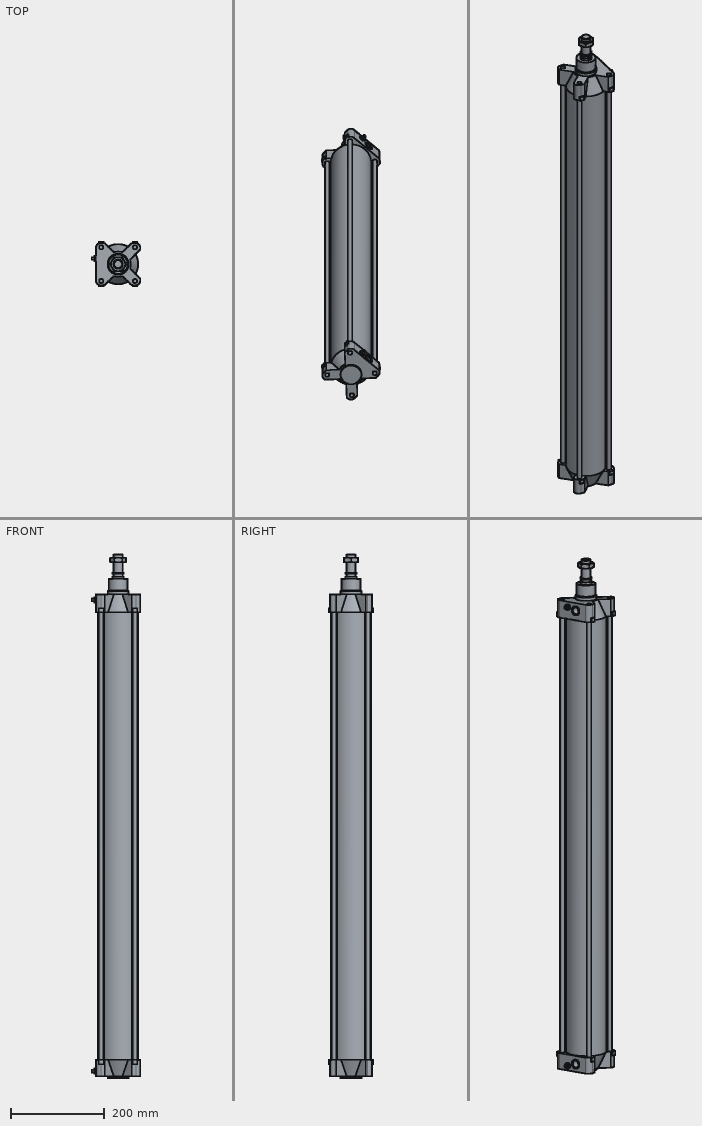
import cadquery as cq
import math

stroke = 900.0
body_length = 128.0 + stroke
rod_shoulder_height = 46.0
thread_length = 40.0

tube_diameter = 86.0
tie_rod_diameter = 10.0
corner_pitch = 72.0
web_width = 3.0
web_overlap = 1.0
corner_offset = corner_pitch / 2

cap_width_x = 95.0
cap_width_y = 90.0
cap_corner_radius = 10.0
arm_width = 23.0
lug_span_y = 95.0
lug_width = 10.0
lug_height = 9.0
front_cap_height = 38.0
rear_cap_height = 35.0
recess_inner_radius = 27.0
mounting_hole_diameter = 8.9
mounting_hole_depth = 16.0

port_y = -8.0
port_diameter = 14.9
port_seat_diameter = 20.0
port_seat_depth = 1.0
port_depth = 18.0
screw_y = 12.0
screw_reach = 9.0
screw_head_height = 3.0
screw_head_diameter = 12.0
screw_shank_diameter = 6.0
front_port_drop = 17.0
front_screw_drop = 11.5
rear_port_rise = 17.0
rear_screw_rise = 11.0

collar_diameter = 45.0
rear_collar_height = 4.0
front_collar_height = 9.0
gland_diameter = 41.0
gland_height = 33.0

rod_diameter = 25.0
thread_diameter = 20.0
thread_chamfer = 1.5
groove_diameter = 20.0
groove_height = 6.0
groove_drop = 2.0
nut_across_flats = 30.0
nut_across_corners = nut_across_flats / math.cos(math.radians(30))
nut_thickness = 10.0
nut_chamfer_angle = 30.0
nut_drop = 7.5

shoulder_z = body_length + rod_shoulder_height
tip_z = shoulder_z + thread_length
gland_top_z = body_length + gland_height
corners = [(x, y) for x in (-corner_offset, corner_offset) for y in (-corner_offset, corner_offset)]


def rod_z(diameter, bottom, top):
    """Cylinder on the Z axis between two heights."""
    return cq.Workplane("XY").workplane(offset=bottom).circle(diameter / 2).extrude(top - bottom)


def rod_x(diameter, y, z, start, end):
    """Cylinder parallel to X between two X positions."""
    return cq.Workplane("YZ", origin=(start, y, z)).circle(diameter / 2).extrude(end - start)


def recess_tool(height):
    """Wedge between two diagonal arms on the +X side, outside a cone that widens towards the tube."""
    apex = arm_width / 2 * math.sqrt(2)
    reach = cap_width_x
    wedge = (
        cq.Workplane("XY")
        .polyline([(apex, 0), (apex + reach, reach), (apex + reach, -reach)])
        .close()
        .extrude(height)
    )
    cone = cq.Workplane("XY").circle(tube_diameter / 2).workplane(offset=height)
    cone = cone.circle(recess_inner_radius).loft()
    return wedge.cut(cone)


def end_cap(height, port_z, screw_z):
    """Cap with its tube side at zero and its outer face at the given height."""
    side = -cap_width_x / 2
    cap = cq.Workplane("XY").rect(cap_width_x, cap_width_y).extrude(height)
    cap = cap.edges("|Z").fillet(cap_corner_radius)
    recess = recess_tool(height)
    for angle in (-90, 0, 90):
        cap = cap.cut(recess.rotate((0, 0, 0), (0, 0, 1), angle))
    lug_depth = lug_span_y / 2 - corner_offset
    for x, y in corners:
        lug_y = math.copysign(corner_offset + lug_depth / 2, y)
        lug = cq.Workplane("XY").center(x, lug_y).rect(lug_width, lug_depth).extrude(lug_height)
        cap = cap.union(lug)
    holes = cq.Workplane("XY").workplane(offset=height).pushPoints(corners)
    cap = cap.cut(holes.circle(mounting_hole_diameter / 2).extrude(-mounting_hole_depth))

    cap = cap.cut(rod_x(port_diameter, port_y, port_z, side, side + port_depth))
    cap = cap.cut(rod_x(port_seat_diameter, port_y, port_z, side, side + port_seat_depth))
    cap = cap.union(rod_x(screw_shank_diameter, screw_y, screw_z, side - screw_reach, side))
    return cap.union(rod_x(screw_head_diameter, screw_y, screw_z, side - screw_head_height, side))


def make_housing():
    """Tube, tie rods with webs, both end caps and their centring collars."""
    tube_length = body_length - front_cap_height - rear_cap_height
    tube = rod_z(tube_diameter, rear_cap_height, rear_cap_height + tube_length)
    tie_rods = (
        cq.Workplane("XY")
        .workplane(offset=rear_cap_height)
        .pushPoints(corners)
        .circle(tie_rod_diameter / 2)
        .extrude(tube_length)
    )
    web_start = tube_diameter / 2 - web_overlap
    web_length = corner_offset * math.sqrt(2) - web_start
    web = (
        cq.Workplane("XY")
        .workplane(offset=rear_cap_height)
        .center(web_start + web_length / 2, 0)
        .rect(web_length, web_width)
        .extrude(tube_length)
    )
    for angle in (45, 135, 225, 315):
        tie_rods = tie_rods.union(web.rotate((0, 0, 0), (0, 0, 1), angle))
    front_cap = end_cap(
        front_cap_height, front_cap_height - front_port_drop, front_cap_height - front_screw_drop
    ).translate((0, 0, body_length - front_cap_height))
    rear_cap = (
        end_cap(rear_cap_height, rear_cap_height - rear_port_rise, rear_cap_height - rear_screw_rise)
        .mirror("XY")
        .translate((0, 0, rear_cap_height))
    )
    housing = tube.union(tie_rods).union(front_cap).union(rear_cap)
    housing = housing.union(rod_z(collar_diameter, -rear_collar_height, 0))
    collar = rod_z(collar_diameter, body_length, body_length + front_collar_height)
    collar = collar.faces(">Z").chamfer((collar_diameter - gland_diameter) / 2)
    housing = housing.union(collar)
    return housing.union(rod_z(gland_diameter, body_length, gland_top_z))


def make_piston_rod():
    """Rod end standing on the gland, with a turned groove and a threaded tip."""
    rod = rod_z(rod_diameter, gland_top_z, shoulder_z)
    groove_top_z = shoulder_z - groove_drop
    groove_bottom_z = groove_top_z - groove_height
    groove = rod_z(rod_diameter, groove_bottom_z, groove_top_z)
    rod = rod.cut(groove.cut(rod_z(groove_diameter, groove_bottom_z, groove_top_z)))
    tip = rod_z(thread_diameter, shoulder_z, tip_z).faces(">Z").chamfer(thread_chamfer)
    return rod.union(tip)


def make_nut():
    """Chamfered hexagon lock nut on the threaded tip, corners along X."""
    top_z = tip_z - nut_drop
    bottom_z = top_z - nut_thickness
    hexagon = cq.Workplane("XY").workplane(offset=bottom_z).polygon(6, nut_across_corners)
    chamfer_width = (nut_across_corners - nut_across_flats) / 2
    chamfer_drop = chamfer_width * math.tan(math.radians(nut_chamfer_angle))
    blank = rod_z(nut_across_corners, bottom_z, top_z).edges().chamfer(chamfer_drop, chamfer_width)
    nut = hexagon.extrude(nut_thickness).intersect(blank)
    return nut.cut(rod_z(thread_diameter, bottom_z, top_z))


housing = make_housing()
piston_rod = make_piston_rod()
nut = make_nut()

result = cq.Compound.makeCompound([housing.val(), piston_rod.val(), nut.val()])